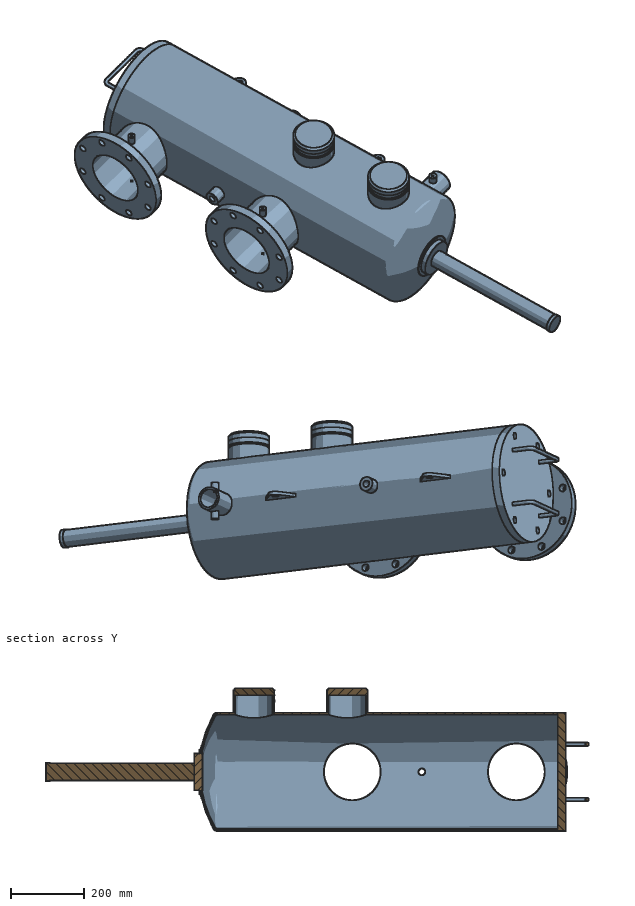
import cadquery as cq
import math


shell_radius = 162.0
wall = 6.0
cover_thickness = 22.0
shell_end_x = 953.0
inner_radius = shell_radius - wall

crown_radius = 312.0
knuckle_radius = 13.0
knuckle_centre_radius = shell_radius - knuckle_radius
centre_distance = crown_radius - knuckle_radius
joint_tilt = math.asin(knuckle_centre_radius / centre_distance)
crown_centre_x = shell_end_x - centre_distance * math.cos(joint_tilt)

shoulder_radius = 61.0
shoulder_thickness = 3.0
flat_x = crown_centre_x + math.sqrt(crown_radius**2 - shoulder_radius**2)
collar_radius = 50.0
collar_end_x = 1017.0
rod_radius = 24.0
rod_end_radius = 25.0
rod_end_length = 10.0
overall_length = 1486.0

nozzle_xs = (135.0, 584.0)
nozzle_radius = 82.0
nozzle_bore_radius = 77.0
flange_face_y = -288.0
flange_radius = 140.0
flange_thickness = 24.0
flange_hole_count = 8
flange_hole_circle_radius = 120.0
flange_hole_radius = 9.7

nozzle_boss_y = -214.0
nozzle_boss_radius = 9.0
nozzle_boss_reach = 105.0

stub_xs = (597.0, 853.0)
stub_radius = 56.0
stub_top_z = 210.0
stub_groove_bottom_z = 192.0
stub_groove_width = 5.0
stub_groove_depth = 2.1
cap_top_z = 229.0
cap_chamfer = 6.0

coupling_x = 394.0
coupling_radius = 20.0
coupling_bore_radius = 9.0
coupling_reach = 192.0

port_x = stub_xs[1]
port_radius = 31.0
port_end_y = 240.0
port_boss_y = 202.0
port_boss_radius = 10.0
port_boss_reach = 50.0

boss_bore_radius = 3.0

lug_xs = (198.0, 672.0)
lug_eye_y = 195.0
lug_tip_radius = 18.0
lug_hole_radius = 9.0
lug_base_width = 92.0
lug_thickness = 9.0

cover_hole_count = 6
cover_hole_circle_radius = 137.0
cover_hole_radius = 9.0
handle_radius = 5.2
handle_reach = 64.0
handle_bend_radius = 12.0
handle_half_width = 79.0
handle_zs = (-76.0, 76.0)


def bar_along_y(radius, start_y, end_y, x):
    """A cylinder along Y, centred on Z = 0."""
    return cq.Workplane("XZ", origin=(x, start_y, 0)).circle(radius).extrude(start_y - end_y)


def bar_along_z(radius, start_z, end_z, x, y=0):
    return cq.Workplane("XY", origin=(x, y, start_z)).circle(radius).extrude(end_z - start_z)


def bar_along_x(radius, start_x, end_x):
    return cq.Workplane("YZ", origin=(start_x, 0, 0)).circle(radius).extrude(end_x - start_x)


def vessel_volume(inset):
    """Solid from the cover to the tip of the dished end, smaller than the outside by inset."""
    crown = crown_radius - inset
    knuckle = knuckle_radius - inset
    side = shell_radius - inset
    tip_x = crown_centre_x + crown

    def on_crown(angle):
        return (crown_centre_x + crown * math.cos(angle), crown * math.sin(angle))

    def on_knuckle(angle):
        return (
            shell_end_x + knuckle * math.cos(angle),
            knuckle_centre_radius + knuckle * math.sin(angle),
        )

    half_section = (
        cq.Workplane("XY")
        .moveTo(cover_thickness, 0)
        .lineTo(cover_thickness, side)
        .lineTo(shell_end_x, side)
        .threePointArc(on_knuckle((joint_tilt + math.pi / 2) / 2), on_knuckle(joint_tilt))
        .threePointArc(on_crown(joint_tilt / 2), (tip_x, 0))
        .close()
    )
    return half_section.revolve(360, (0, 0, 0), (1, 0, 0))


def flange(x):
    holes = (
        cq.Workplane("XZ", origin=(x, flange_face_y, 0))
        .polarArray(flange_hole_circle_radius, 180 / flange_hole_count, 360, flange_hole_count)
        .circle(flange_hole_radius)
        .extrude(-flange_thickness)
    )
    disc = bar_along_y(flange_radius, flange_face_y, flange_face_y + flange_thickness, x)
    return disc.cut(holes)


def lug(x):
    """Plate with a rounded tip, straight sides tangent to the tip, and an eye."""
    half_base = lug_base_width / 2
    drop = lug_eye_y - shell_radius
    to_corner = math.atan2(-drop, half_base)
    touch = to_corner + math.acos(lug_tip_radius / math.hypot(half_base, drop))
    touch_x = lug_tip_radius * math.cos(touch)
    touch_y = lug_eye_y + lug_tip_radius * math.sin(touch)
    plate = (
        cq.Workplane("XY", origin=(x, 0, -lug_thickness / 2))
        .moveTo(-half_base, inner_radius)
        .lineTo(half_base, inner_radius)
        .lineTo(half_base, shell_radius)
        .lineTo(touch_x, touch_y)
        .threePointArc((0, lug_eye_y + lug_tip_radius), (-touch_x, touch_y))
        .lineTo(-half_base, shell_radius)
        .close()
        .extrude(lug_thickness)
    )
    eye = bar_along_z(lug_hole_radius, -lug_thickness, lug_thickness, x, lug_eye_y)
    return plate.cut(eye)


def stub(x):
    groove_top = stub_groove_bottom_z + stub_groove_width
    pipe = bar_along_z(stub_radius, 0, stub_top_z, x)
    groove_floor = bar_along_z(stub_radius - stub_groove_depth, stub_groove_bottom_z, groove_top, x)
    groove = bar_along_z(stub_radius, stub_groove_bottom_z, groove_top, x).cut(groove_floor)
    return pipe.cut(groove)


def make_shell():
    body = vessel_volume(0)
    for x in nozzle_xs:
        body = body.union(bar_along_y(nozzle_radius, flange_face_y, 0, x)).union(flange(x))
        body = body.union(
            bar_along_z(nozzle_boss_radius, -nozzle_boss_reach, nozzle_boss_reach, x, nozzle_boss_y)
        )
    for x in stub_xs:
        body = body.union(stub(x))
    body = body.union(bar_along_y(coupling_radius, -coupling_reach, coupling_reach, coupling_x))
    body = body.union(bar_along_y(port_radius, 0, port_end_y, port_x))
    body = body.union(
        bar_along_z(port_boss_radius, -port_boss_reach, port_boss_reach, port_x, port_boss_y)
    )
    for x in lug_xs:
        body = body.union(lug(x))

    body = body.cut(vessel_volume(wall))
    for x in nozzle_xs:
        body = body.cut(bar_along_y(nozzle_bore_radius, flange_face_y, 0, x))
        body = body.cut(
            bar_along_z(boss_bore_radius, -nozzle_boss_reach, nozzle_boss_reach, x, nozzle_boss_y)
        )
    for x in stub_xs:
        body = body.cut(bar_along_z(stub_radius - wall, 0, stub_top_z, x))
    body = body.cut(bar_along_y(coupling_bore_radius, -coupling_reach, coupling_reach, coupling_x))
    body = body.cut(bar_along_y(port_radius - wall, 0, port_end_y, port_x))
    body = body.cut(
        bar_along_z(boss_bore_radius, -port_boss_reach, port_boss_reach, port_x, port_boss_y)
    )
    body = body.cut(bar_along_x(shoulder_radius, flat_x, collar_end_x))
    return body.cut(bar_along_x(collar_radius, shell_end_x, collar_end_x))


def make_cover():
    return (
        bar_along_x(shell_radius, 0, cover_thickness)
        .faces("<X")
        .workplane(origin=(0, 0, 0))
        .polarArray(cover_hole_circle_radius, 0, 360, cover_hole_count)
        .hole(2 * cover_hole_radius)
    )


def make_handle(z):
    """Round bar bent to a U, with both ends standing on the cover."""
    bar_x = handle_radius - handle_reach
    bend_x = bar_x + handle_bend_radius
    bend_y = handle_half_width - handle_bend_radius
    mid = handle_bend_radius * math.sqrt(0.5)
    path = (
        cq.Workplane("XY", origin=(0, 0, z))
        .moveTo(0, -handle_half_width)
        .lineTo(bend_x, -handle_half_width)
        .threePointArc((bend_x - mid, -bend_y - mid), (bar_x, -bend_y))
        .lineTo(bar_x, bend_y)
        .threePointArc((bend_x - mid, bend_y + mid), (bend_x, handle_half_width))
        .lineTo(0, handle_half_width)
    )
    start = cq.Workplane("YZ", origin=(0, -handle_half_width, z))
    return start.circle(handle_radius).sweep(path)


def make_cap(x):
    return bar_along_z(stub_radius, stub_top_z, cap_top_z, x).faces(">Z").chamfer(cap_chamfer)


def make_collar():
    plug = bar_along_x(collar_radius, flat_x - wall, collar_end_x)
    return plug.union(bar_along_x(shoulder_radius, flat_x, flat_x + shoulder_thickness))


def make_rod():
    tip_x = overall_length - handle_reach
    bar = bar_along_x(rod_radius, collar_end_x, tip_x)
    return bar.union(bar_along_x(rod_end_radius, tip_x - rod_end_length, tip_x))


shell = make_shell()
cover = make_cover()
handles = [make_handle(z) for z in handle_zs]
caps = [make_cap(x) for x in stub_xs]
collar = make_collar()
rod = make_rod()

result = cq.Compound.makeCompound(
    [
        shell.val(),
        cover.val(),
        *[handle.val() for handle in handles],
        *[cap.val() for cap in caps],
        collar.val(),
        rod.val(),
    ]
)